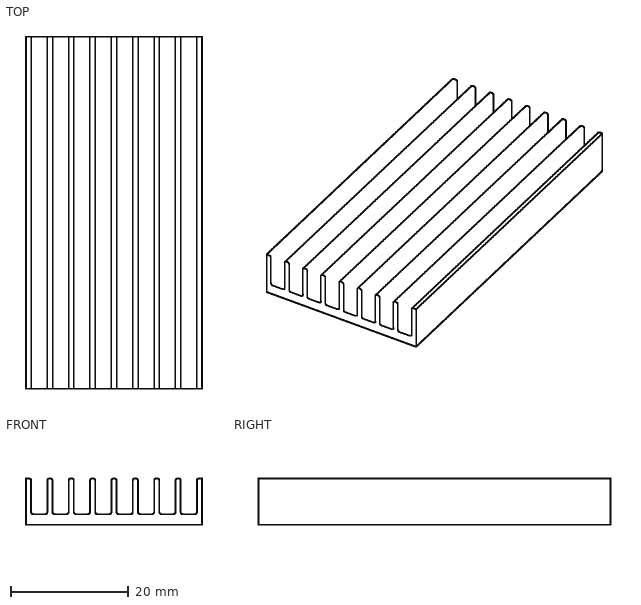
import cadquery as cq

length = 60.1
width = 30.05
height = 7.95
base_thickness = 1.85
fin_count = 9
fin_thickness = 0.9
corner_radius = 0.34

channel_count = fin_count - 1
fin_pitch = (width - fin_thickness) / channel_count
channel_width = fin_pitch - fin_thickness


def channel_cutter(center_x):
    """Cutter for one channel: rounded at the floor and flared over the fin tips."""
    half_width = channel_width / 2
    half_mouth = half_width + corner_radius
    half_floor = half_width - corner_radius
    tip_start = height - corner_radius
    root_end = base_thickness + corner_radius
    return (
        cq.Workplane("XZ", origin=(center_x, length / 2, 0))
        .moveTo(-half_mouth, height)
        .radiusArc((-half_width, tip_start), corner_radius)
        .lineTo(-half_width, root_end)
        .radiusArc((-half_floor, base_thickness), -corner_radius)
        .lineTo(half_floor, base_thickness)
        .radiusArc((half_width, root_end), -corner_radius)
        .lineTo(half_width, tip_start)
        .radiusArc((half_mouth, height), corner_radius)
        .close()
        .extrude(length)
    )


result = cq.Workplane("XY").box(width, length, height, centered=(True, True, False))
first_channel_x = (-width + fin_thickness + fin_pitch) / 2
for index in range(channel_count):
    result = result.cut(channel_cutter(first_channel_x + index * fin_pitch))